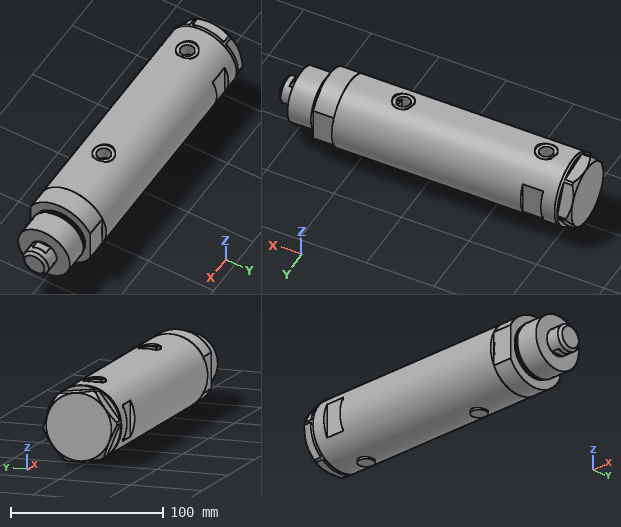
import cadquery as cq
total_length = 224.0
outer_radius = 26.0
across_flats = 46.0

hex_length = 9.0
flange_length = 2.0
hex_turn = 112.5
hex_face_radius = 22.9
hex_chamfer_length = 2.7
spigot_length = 27.0

barrel_start_x = hex_length + flange_length
spigot_end_x = barrel_start_x + spigot_length
barrel_end_x = 175.9
flats_start_x = 21.0
flats_length = 15.0
bore_radius = 15.5
counterbore_radius = 22.6
counterbore_start_x = 139.3
port_positions_x = (30.5, 136.2)
port_diameter = 9.9
spot_face_diameter = 15.2
spot_face_depth = 1.23
pad_positions_x = (34.5, 139.3)
pad_diameter = 12.0
pad_projection = 1.1

shoulder_x = 191.3
neck_radius = 19.3
neck_length = 1.1
groove_radius = 18.5
groove_length = 1.1
nose_start_x = 194.5
nose_end_x = 212.0
nose_radius = 20.0

rod_diameter = 19.5
rod_radius = rod_diameter / 2
rod_chamfer = 2.0
rod_flats_end_x = 218.0
rod_across_flats = 16.5


def across_x(x):
    """Workplane facing +X at the given place, with Z as its first direction."""
    return cq.Workplane(cq.Plane(origin=(x, 0, 0), xDir=(0, 0, 1), normal=(1, 0, 0)))


def bar_along_x(radius, start_x, end_x):
    """Plain cylinder on the X axis."""
    return across_x(start_x).circle(radius).extrude(end_x - start_x)


def revolved_about_x(profile):
    """Solid of revolution from (x, radius) points; the profile closes along the axis."""
    return cq.Workplane("XZ").polyline(profile).close().revolve(360, (0, 0, 0), (1, 0, 0))


def outside_flats(start_x, end_x, across, side_axis):
    """Pair of blocks lying outside two parallel faces, facing +/-Y or +/-Z."""
    length = end_x - start_x
    middle_x = (start_x + end_x) / 2
    width = 2 * outer_radius
    blocks = cq.Workplane("XY")
    for side in (-1, 1):
        offset = side * (across + width) / 2
        centre = (middle_x, offset, 0) if side_axis == "Y" else (middle_x, 0, offset)
        blocks = blocks.add(cq.Workplane("XY", origin=centre).box(length, width, width))
    return blocks.combine()


def make_end_cap():
    hexagon = across_x(0).polygon(6, across_flats, circumscribed=True).extrude(hex_length)
    corner_limit = revolved_about_x([
        (0, 0),
        (0, hex_face_radius),
        (hex_chamfer_length, outer_radius),
        (hex_length, outer_radius),
        (hex_length, 0),
    ])
    flange = bar_along_x(outer_radius, hex_length, barrel_start_x)
    spigot = bar_along_x(bore_radius, barrel_start_x, spigot_end_x)
    cap = hexagon.intersect(corner_limit).union(flange).union(spigot)
    return cap.rotate((0, 0, 0), (1, 0, 0), hex_turn)


def cut_ports(barrel):
    port_depth = outer_radius
    for port_x in port_positions_x:
        port_top = cq.Workplane("XY", origin=(port_x, 0, outer_radius - spot_face_depth))
        barrel = barrel.cut(port_top.circle(spot_face_diameter / 2).extrude(outer_radius))
        barrel = barrel.cut(port_top.circle(port_diameter / 2).extrude(-port_depth))
    return barrel


def make_barrel():
    barrel = bar_along_x(outer_radius, barrel_start_x, barrel_end_x)
    for pad_x in pad_positions_x:
        pad = (
            cq.Workplane("XY", origin=(pad_x, 0, -outer_radius - pad_projection))
            .circle(pad_diameter / 2)
            .extrude(2 * pad_projection)
        )
        barrel = barrel.union(pad)
    barrel = barrel.cut(outside_flats(flats_start_x, flats_start_x + flats_length, across_flats, "Y"))
    barrel = barrel.cut(bar_along_x(bore_radius, barrel_start_x, barrel_end_x))
    barrel = barrel.cut(bar_along_x(counterbore_radius, counterbore_start_x, barrel_end_x))
    return cut_ports(barrel)


def make_front_head():
    groove_start_x = shoulder_x + neck_length
    groove_end_x = groove_start_x + groove_length
    head = revolved_about_x([
        (counterbore_start_x, 0),
        (counterbore_start_x, counterbore_radius),
        (barrel_end_x, counterbore_radius),
        (barrel_end_x, outer_radius),
        (shoulder_x, outer_radius),
        (shoulder_x, neck_radius),
        (groove_start_x, neck_radius),
        (groove_start_x, groove_radius),
        (groove_end_x, groove_radius),
        (nose_start_x, nose_radius),
        (nose_end_x, nose_radius),
        (nose_end_x, 0),
    ])
    head = head.cut(outside_flats(barrel_end_x, shoulder_x, across_flats, "Y"))
    return head.cut(bar_along_x(rod_radius, counterbore_start_x, nose_end_x))


def make_rod():
    rod = bar_along_x(rod_radius, spigot_end_x, total_length).faces(">X").chamfer(rod_chamfer)
    return rod.cut(outside_flats(nose_end_x, rod_flats_end_x, rod_across_flats, "Z"))


end_cap = make_end_cap()
barrel = make_barrel()
front_head = make_front_head()
rod = make_rod()

result = cq.Compound.makeCompound([end_cap.val(), barrel.val(), front_head.val(), rod.val()])